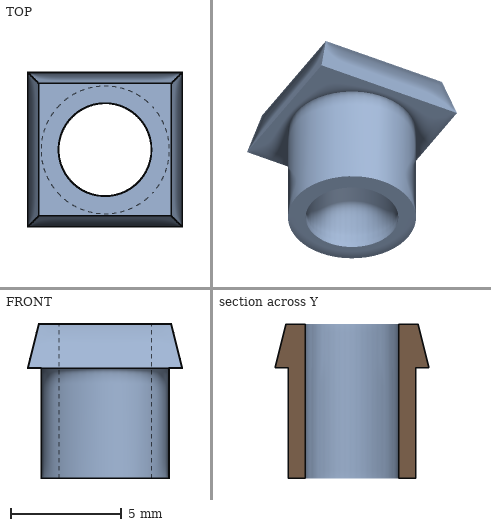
import cadquery as cq

overall_height = 7.0
head_base_side = 7.0
head_top_side = 6.0
head_height = 2.0
shank_diameter = 5.8
bore_diameter = 4.2

shank_height = overall_height - head_height

shank = cq.Workplane("XY").circle(shank_diameter / 2).extrude(shank_height)

head = (
    cq.Workplane("XY")
    .workplane(offset=shank_height)
    .rect(head_base_side, head_base_side)
    .workplane(offset=head_height)
    .rect(head_top_side, head_top_side)
    .loft(ruled=True)
)

bore = cq.Workplane("XY").circle(bore_diameter / 2).extrude(overall_height)

result = shank.union(head).cut(bore)